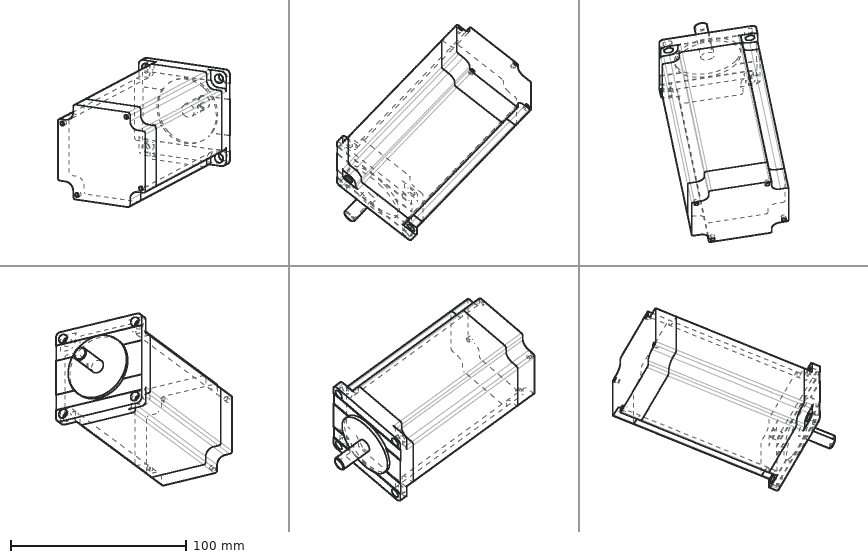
import cadquery as cq


width = 56.3
total_length = 126.0

cover_length = 13.1
stator_length = 81.0
flange_length = 10.1
plate_thickness = 5.0
boss_height = 1.6

notch_size = 9.8
notch_radius = 4.9
notch_edge_radius = 1.5

flange_corner_radius = 3.0
mount_hole_spacing = 47.1
mount_hole_diameter = 5.3
boss_diameter = 38.2
channel_width = 9.6
channel_offset = 15.5
channel_depth = 0.4

screw_hole_diameter = 2.5
screw_hole_depth = 2.5
screw_near = 15.9
screw_far = 25.3

shaft_diameter = 8.0
shaft_chamfer = 0.5
flat_length = 14.9
flat_depth = 0.6

stator_start = cover_length
flange_start = stator_start + stator_length
plate_start = flange_start + flange_length - plate_thickness
mount_face = flange_start + flange_length
boss_face = mount_face + boss_height


def xz_plane(y):
    """Sketch plane at station y whose normal points to +Y; its local axes are Z and X."""
    return cq.Workplane(cq.Plane(origin=(0, y, 0), xDir=(0, 0, 1), normal=(0, 1, 0)))


def notched_prism(start, length):
    """Square prism along Y with a rounded notch in each corner."""
    notch_span = 2 * notch_size
    notch_centres = xz_plane(start).rect(width, width, forConstruction=True).vertices()
    notches = notch_centres.rect(notch_span, notch_span).extrude(length)
    notches = notches.edges("|Y").fillet(notch_radius)
    prism = xz_plane(start).rect(width, width).extrude(length).cut(notches)

    half = width / 2
    inner = half - notch_size
    for x_sign in (-1, 1):
        for z_sign in (-1, 1):
            for x, z in ((half, inner), (inner, half)):
                edge_point = (x_sign * x, start + length / 2, z_sign * z)
                edge = cq.selectors.NearestToPointSelector(edge_point)
                prism = prism.edges(edge).fillet(notch_edge_radius)
    return prism


def make_rear_cover():
    cover = notched_prism(0, cover_length)
    screw_points = [
        (screw_near, screw_far),
        (-screw_far, screw_near),
        (-screw_near, -screw_far),
        (screw_far, -screw_near),
    ]
    for x, z in screw_points:
        hole = xz_plane(0).center(z, x).circle(screw_hole_diameter / 2).extrude(screw_hole_depth)
        cover = cover.cut(hole)
    return cover


def make_stator():
    return notched_prism(stator_start, stator_length)


def make_flange():
    """Front flange; the pilot boss rises from the floor of the channels that it interrupts."""
    plate = xz_plane(plate_start).rect(width, width).extrude(plate_thickness)
    plate = plate.edges("|Y").fillet(flange_corner_radius)
    neck = notched_prism(flange_start, flange_length - plate_thickness)
    channels = (
        xz_plane(mount_face)
        .pushPoints([(channel_offset, 0), (-channel_offset, 0)])
        .rect(channel_width, width)
        .extrude(-channel_depth)
    )
    boss = xz_plane(mount_face - channel_depth).circle(boss_diameter / 2).extrude(channel_depth + boss_height)
    mount_holes = (
        xz_plane(plate_start)
        .rect(mount_hole_spacing, mount_hole_spacing, forConstruction=True)
        .vertices()
        .circle(mount_hole_diameter / 2)
        .extrude(plate_thickness)
    )
    return plate.union(neck).cut(channels).union(boss).cut(mount_holes)


def make_shaft():
    """Shaft standing on the pilot boss, with a flat on its +X side at the tip."""
    radius = shaft_diameter / 2
    shaft = xz_plane(boss_face).circle(radius).extrude(total_length - boss_face)
    shaft = shaft.faces(">Y").chamfer(shaft_chamfer)
    flat = (
        xz_plane(total_length - flat_length)
        .center(0, 2 * radius - flat_depth)
        .rect(2 * radius, 2 * radius)
        .extrude(flat_length)
    )
    return shaft.cut(flat)


rear_cover = make_rear_cover()
stator = make_stator()
flange = make_flange()
shaft = make_shaft()

result = cq.Compound.makeCompound([rear_cover.val(), stator.val(), flange.val(), shaft.val()])